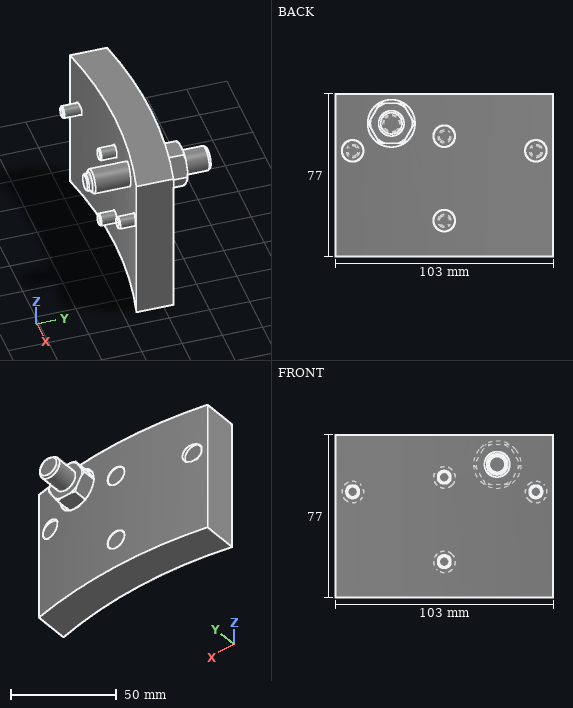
import cadquery as cq
import math


plate_width = 103.0
plate_height = 77.0
plate_thickness = 18.0
inner_radius = 228.7
outer_radius = inner_radius + plate_thickness

stud_x = 25.0
stud_z = 24.5
stud_diameter = 12.0
stud_length = 61.0
stud_back_y = 38.1
stud_front_y = stud_back_y - stud_length
stud_back_end_diameter = 10.1
stud_back_chamfer = 1.2
stud_shoulder_diameter = 10.0
stud_shoulder_chamfer = 1.0
stud_nose_diameter = 8.4
stud_nose_length = 2.3
stud_nose_chamfer_axial = 0.7
stud_nose_chamfer_radial = 0.5
stud_nose_root_radius = 0.5

nut_across_flats = 19.0
nut_height = 10.0
nut_back_y = 25.0
nut_seat_y = nut_back_y - nut_height
nut_corner_radius = nut_across_flats / math.sqrt(3)
nut_chamfer_radial = 1.0
nut_chamfer_axial = 0.7
spotface_diameter = 22.5

screw_diameter = 6.0
screw_length = 20.0
screw_tip_chamfer = 0.6
screw_head_diameter = 10.0
screw_head_height = 6.0
screw_clearance_diameter = 6.4
counterbore_diameter = 10.4

side_screw_spacing = 86.7
side_screw_z = 11.5
side_screw_tip_y = -12.7

centre_screw_top_z = 18.4
centre_screw_spacing = 40.0
centre_screw_tip_y = -8.1

side_screw_places = [
    (side * side_screw_spacing / 2, side_screw_z, side_screw_tip_y) for side in (-1, 1)
]
centre_screw_places = [
    (0, centre_screw_top_z - row * centre_screw_spacing, centre_screw_tip_y) for row in (0, 1)
]
screw_places = side_screw_places + centre_screw_places


def rod(x, z, diameter, start_y, end_y):
    """Plain cylinder along +Y from start_y to end_y."""
    return (
        cq.Workplane("XZ", origin=(x, start_y, z))
        .circle(diameter / 2)
        .extrude(start_y - end_y)
    )


def make_screw(x, z, tip_y):
    """Cap screw with a plain cylindrical head and a chamfered tip on the -Y side."""
    seat_y = tip_y + screw_length
    shank = rod(x, z, screw_diameter, tip_y, seat_y).faces("<Y").chamfer(screw_tip_chamfer)
    head = rod(x, z, screw_head_diameter, seat_y, seat_y + screw_head_height)
    return shank.union(head)


def make_blank():
    """Plate between two concentric arcs, cut off square at both ends."""
    half_width = plate_width / 2
    inner_end_y = math.sqrt(inner_radius**2 - half_width**2) - inner_radius
    outer_end_y = math.sqrt(outer_radius**2 - half_width**2) - inner_radius
    return (
        cq.Workplane("XY", origin=(0, 0, -plate_height / 2))
        .moveTo(-half_width, inner_end_y)
        .threePointArc((0, 0), (half_width, inner_end_y))
        .lineTo(half_width, outer_end_y)
        .threePointArc((0, plate_thickness), (-half_width, outer_end_y))
        .close()
        .extrude(plate_height)
    )


def make_plate():
    plate = make_blank()
    plate = plate.cut(rod(stud_x, stud_z, stud_diameter, stud_front_y, stud_back_y))
    plate = plate.cut(rod(stud_x, stud_z, spotface_diameter, nut_seat_y, nut_back_y))
    for x, z, tip_y in screw_places:
        seat_y = tip_y + screw_length
        plate = plate.cut(rod(x, z, screw_clearance_diameter, tip_y, seat_y))
        plate = plate.cut(rod(x, z, counterbore_diameter, seat_y, plate_thickness))
    return plate


def make_stud():
    """Stud turned from a half profile in (radius, y), with a filleted root behind its nose."""
    radius = stud_diameter / 2
    nose_radius = stud_nose_diameter / 2
    shoulder_y = stud_front_y + stud_nose_length
    root = stud_nose_root_radius
    root_offset = root * (1 - math.cos(math.pi / 4))
    return (
        cq.Workplane("XY", origin=(stud_x, 0, stud_z))
        .moveTo(0, stud_front_y)
        .lineTo(nose_radius - stud_nose_chamfer_radial, stud_front_y)
        .lineTo(nose_radius, stud_front_y + stud_nose_chamfer_axial)
        .lineTo(nose_radius, shoulder_y - root)
        .threePointArc(
            (nose_radius + root_offset, shoulder_y - root_offset),
            (nose_radius + root, shoulder_y),
        )
        .lineTo(stud_shoulder_diameter / 2, shoulder_y)
        .lineTo(radius, shoulder_y + stud_shoulder_chamfer)
        .lineTo(radius, stud_back_y - stud_back_chamfer)
        .lineTo(stud_back_end_diameter / 2, stud_back_y)
        .lineTo(0, stud_back_y)
        .close()
        .revolve(360, (0, 0, 0), (0, 1, 0))
    )


def make_nut():
    """Hexagon nut with two corners along X and a conical chamfer on its +Y end."""
    hexagon = (
        cq.Workplane("XZ", origin=(stud_x, nut_seat_y, stud_z))
        .polygon(6, 2 * nut_corner_radius)
        .extrude(-nut_height)
    )
    chamfer_envelope = (
        rod(stud_x, stud_z, 2 * nut_corner_radius, nut_seat_y, nut_back_y)
        .faces(">Y")
        .edges()
        .chamfer(nut_chamfer_axial, nut_chamfer_radial)
    )
    bore = rod(stud_x, stud_z, stud_diameter, nut_seat_y, nut_back_y)
    return hexagon.intersect(chamfer_envelope).cut(bore)


plate = make_plate()
stud = make_stud()
nut = make_nut()
screws = [make_screw(x, z, tip_y) for x, z, tip_y in screw_places]

result = cq.Compound.makeCompound(
    [plate.val(), stud.val(), nut.val()] + [screw.val() for screw in screws]
)